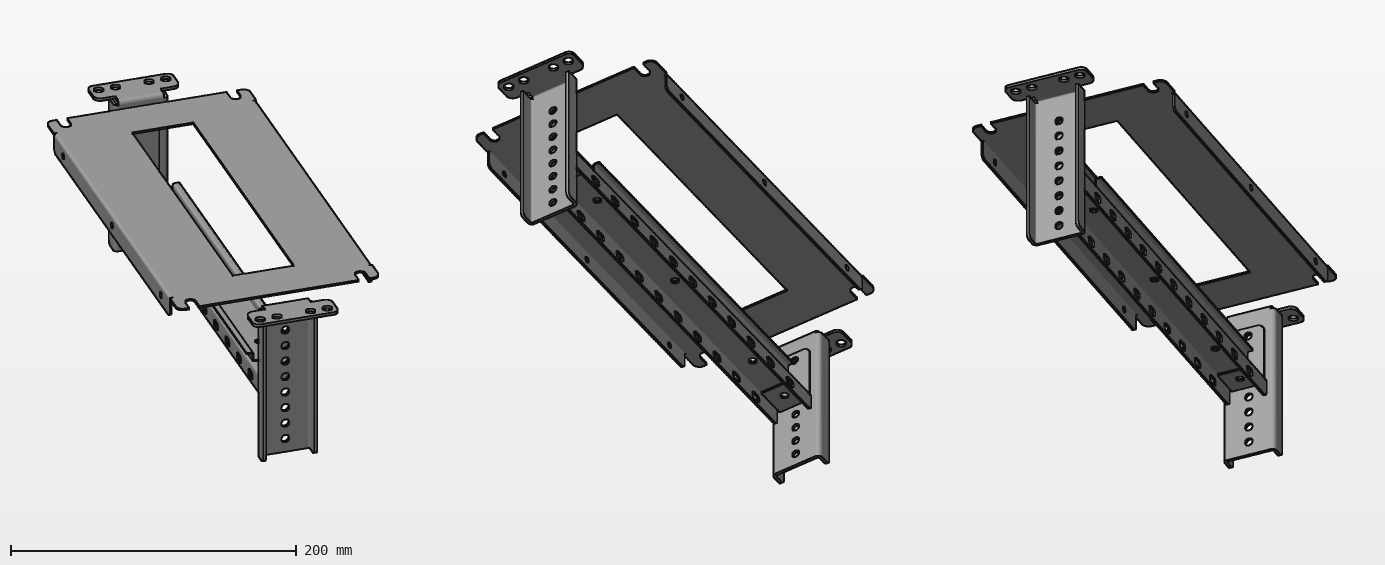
import cadquery as cq
import math

overall_length = 365.0
overall_height = 120.0
top_z = overall_height / 2

thin_sheet = 1.5
thin_bend = 0.7
upright_sheet = 2.2
upright_bend = 1.0
rail_sheet = 1.0
rail_bend = 0.7

screw_hole = 6.0

plate_length = 287.5
plate_width = 149.5
plate_corner = 5.0
window_length = 219.0
window_width = 45.3
edge_slot_width = 7.5
edge_slot_depth = 12.0
edge_slot_y = 62.8
skirt_length = 252.0
skirt_depth = 15.5
skirt_corner = 4.0
skirt_hole = 4.5
skirt_hole_drop = 8.0
skirt_hole_pitch = 106.2

upright_face_x = 155.0
upright_width = 40.0
upright_depth = 12.8
upright_corner = 3.5
upright_hole_pitch = 12.5
upright_hole_count = 8
first_hole_drop = 22.5
ear_length = 62.8
ear_width = 19.5
ear_outer_corner = 4.5
ear_inner_corner = 5.0
ear_hole = 7.0
ear_hole_edge = 7.0
ear_hole_spots = (12.5, 25.0)

bar_length = 305.0
bar_width = 30.0
bar_depth = 15.0
bar_top_z = -2.5
bar_corner = 3.3
bar_slot_length = 9.5
bar_slot_width = 6.0
bar_slot_drop = 9.5
bar_slot_count = 11
bar_slot_span = 250.0
bar_end_slot_length = 9.5
bar_end_slot_width = 6.5
bar_end_slot_x = 141.0

bracket_width = 25.0
bracket_height = 49.5
bracket_foot = 25.0
bracket_corner = 5.0

rail_length = 249.5
rail_width = 35.0
rail_channel_width = 27.0
rail_height = 7.5
rail_hole_pitch = 100.0

bar_slot_pitch = bar_slot_span / (bar_slot_count - 1)
bracket_bottom_z = bar_top_z - 2 * thin_sheet
first_hole_z = top_z - first_hole_drop
ear_hole_x = overall_length / 2 - ear_hole_edge


def bent_section(plane, path, sheet, inside_radius):
    """Closed outline of a sheet folded at right angles along its mid-thickness path."""
    half = sheet / 2
    middle_radius = inside_radius + half
    steps = []
    for (u0, v0), (u1, v1) in zip(path, path[1:]):
        length = math.hypot(u1 - u0, v1 - v0)
        steps.append(((u1 - u0) / length, (v1 - v0) / length))

    def beside(point, step, offset):
        return (point[0] - step[1] * offset, point[1] + step[0] * offset)

    def bend(index, offset):
        """Start, middle and end of the arc at one fold, on the given side of the path."""
        (du0, dv0), (du1, dv1) = steps[index - 1], steps[index]
        turn = du0 * dv1 - dv0 * du1
        centre = (
            path[index][0] + (du1 - du0) * middle_radius,
            path[index][1] + (dv1 - dv0) * middle_radius,
        )
        reach = offset - turn * middle_radius
        diagonal = ((du0 + du1) / math.sqrt(2), (dv0 + dv1) / math.sqrt(2))
        return [beside(centre, step, reach) for step in (steps[index - 1], diagonal, steps[index])]

    folds = range(1, len(path) - 1)
    outline = cq.Workplane(plane).moveTo(*beside(path[0], steps[0], half))
    for index in folds:
        start, middle, end = bend(index, half)
        outline = outline.lineTo(*start).threePointArc(middle, end)
    outline = outline.lineTo(*beside(path[-1], steps[-1], half))
    outline = outline.lineTo(*beside(path[-1], steps[-1], -half))
    for index in reversed(folds):
        start, middle, end = bend(index, -half)
        outline = outline.lineTo(*end).threePointArc(middle, start)
    return outline.lineTo(*beside(path[0], steps[0], -half)).close()


def vertical_drill(points, diameter):
    """Long cylinders along Z, used as a cutting tool."""
    return cq.Workplane("XY").pushPoints(points).circle(diameter / 2).extrude(overall_height, both=True)


def lengthwise_drill(heights, diameter):
    """Long cylinders along X at the given heights, used as a cutting tool."""
    points = [(0, z) for z in heights]
    return cq.Workplane("YZ").pushPoints(points).circle(diameter / 2).extrude(overall_length, both=True)


def make_cover_plate():
    middle_z = top_z - thin_sheet / 2
    skirt_y = plate_width / 2 - thin_sheet / 2
    skirt_bottom_z = top_z - skirt_depth
    path = [(-skirt_y, skirt_bottom_z), (-skirt_y, middle_z), (skirt_y, middle_z), (skirt_y, skirt_bottom_z)]
    folded = bent_section("YZ", path, thin_sheet, thin_bend).extrude(skirt_length / 2, both=True)
    folded = folded.edges("|Y and <Z").fillet(skirt_corner)

    end_length = (plate_length - skirt_length) / 2
    for side in (-1, 1):
        end_sheet = (
            cq.Workplane("XY")
            .box(end_length, plate_width, thin_sheet)
            .edges("|Z and >X" if side > 0 else "|Z and <X")
            .fillet(plate_corner)
            .translate((side * (skirt_length + end_length) / 2, 0, middle_z))
        )
        folded = folded.union(end_sheet)

    window = cq.Workplane("XY").box(window_length, window_width, overall_height).translate((0, 0, top_z))
    slots = (
        cq.Workplane("XY")
        .pushPoints([(sx * plate_length / 2, sy * edge_slot_y) for sx in (-1, 1) for sy in (-1, 1)])
        .slot2D(2 * edge_slot_depth, edge_slot_width)
        .extrude(overall_height)
    )
    skirt_holes = (
        cq.Workplane("XZ")
        .pushPoints([(step * skirt_hole_pitch, top_z - skirt_hole_drop) for step in (-1, 0, 1)])
        .circle(skirt_hole / 2)
        .extrude(plate_width, both=True)
    )
    return folded.cut(window).cut(slots).cut(skirt_holes)


def make_upright():
    web_x = -upright_face_x - upright_sheet / 2
    leg_y = upright_width / 2 - upright_sheet / 2
    leg_end_x = -upright_face_x - upright_depth
    outer_bend = upright_sheet + upright_bend
    channel_top_z = top_z - outer_bend
    path = [(leg_end_x, -leg_y), (web_x, -leg_y), (web_x, leg_y), (leg_end_x, leg_y)]
    channel = (
        bent_section("XY", path, upright_sheet, upright_bend)
        .extrude(channel_top_z + top_z)
        .translate((0, 0, -top_z))
        .edges("|Y and <X and <Z")
        .fillet(upright_corner)
    )

    ear_z = top_z - upright_sheet / 2
    tongue_width = upright_width - 2 * outer_bend
    tongue_path = [(web_x, 0), (web_x, ear_z), (-overall_length / 2 + ear_width / 2, ear_z)]
    tongue = bent_section("XZ", tongue_path, upright_sheet, upright_bend).extrude(tongue_width / 2, both=True)
    ear = (
        cq.Workplane("XY")
        .box(ear_width, ear_length, upright_sheet)
        .edges("|Z and <X")
        .fillet(ear_outer_corner)
        .edges("|Z and >X")
        .fillet(ear_inner_corner)
        .translate(((ear_width - overall_length) / 2, 0, ear_z))
    )

    ear_holes = vertical_drill([(-ear_hole_x, side * y) for side in (-1, 1) for y in ear_hole_spots], ear_hole)
    heights = [first_hole_z - step * upright_hole_pitch for step in range(upright_hole_count)]
    return channel.union(tongue).union(ear).cut(ear_holes).cut(lengthwise_drill(heights, screw_hole))


def make_bracket():
    leg_x = -upright_face_x + thin_sheet / 2
    foot_z = bracket_bottom_z + thin_sheet / 2
    path = [
        (leg_x, bracket_bottom_z + bracket_height),
        (leg_x, foot_z),
        (-upright_face_x + bracket_foot, foot_z),
    ]
    angle = (
        bent_section("XZ", path, thin_sheet, thin_bend)
        .extrude(bracket_width / 2, both=True)
        .edges("|X and >Z")
        .fillet(bracket_corner)
    )
    leg_holes = lengthwise_drill([first_hole_z, first_hole_z - 2 * upright_hole_pitch], screw_hole)
    return angle.cut(leg_holes).cut(vertical_drill([(-bar_end_slot_x, 0)], screw_hole))


def make_cross_bar():
    side_y = bar_width / 2 - thin_sheet / 2
    web_z = bar_top_z - thin_sheet / 2
    bottom_z = bar_top_z - bar_depth
    path = [(-side_y, bottom_z), (-side_y, web_z), (side_y, web_z), (side_y, bottom_z)]
    channel = (
        bent_section("YZ", path, thin_sheet, thin_bend)
        .extrude(bar_length / 2, both=True)
        .edges("|Y and <Z")
        .fillet(bar_corner)
    )
    slots = (
        cq.Workplane("XZ", origin=(0, 0, bar_top_z - bar_slot_drop))
        .rarray(bar_slot_pitch, 3.5, bar_slot_count, 1)
        .slot2D(bar_slot_length, bar_slot_width)
        .extrude(bar_width, both=True)
    )
    rail_holes = vertical_drill([(step * rail_hole_pitch, 0) for step in (-1, 0, 1)], screw_hole)
    end_slots = (
        cq.Workplane("XY")
        .pushPoints([(side * bar_end_slot_x, 0) for side in (-1, 1)])
        .slot2D(bar_end_slot_length, bar_end_slot_width)
        .extrude(overall_height, both=True)
    )
    return channel.cut(slots).cut(rail_holes).cut(end_slots)


def make_rail():
    wall_y = rail_channel_width / 2 - rail_sheet / 2
    floor_z = bar_top_z + rail_sheet / 2
    flange_z = bar_top_z + rail_height - rail_sheet / 2
    half_path = [(rail_width / 2, flange_z), (wall_y, flange_z), (wall_y, floor_z)]
    path = [(-y, z) for y, z in half_path] + half_path[::-1]
    hat = bent_section("YZ", path, rail_sheet, rail_bend).extrude(rail_length / 2, both=True)
    return hat.cut(vertical_drill([(step * rail_hole_pitch, 0) for step in (-1, 0, 1)], screw_hole))


cover_plate = make_cover_plate()
cross_bar = make_cross_bar()
rail = make_rail()

end_parts = []
for angle in (0, 180):
    for make_part in (make_upright, make_bracket):
        end_parts.append(make_part().rotate((0, 0, 0), (0, 0, 1), angle).val())

result = cq.Compound.makeCompound([cover_plate.val(), cross_bar.val(), rail.val(), *end_parts])